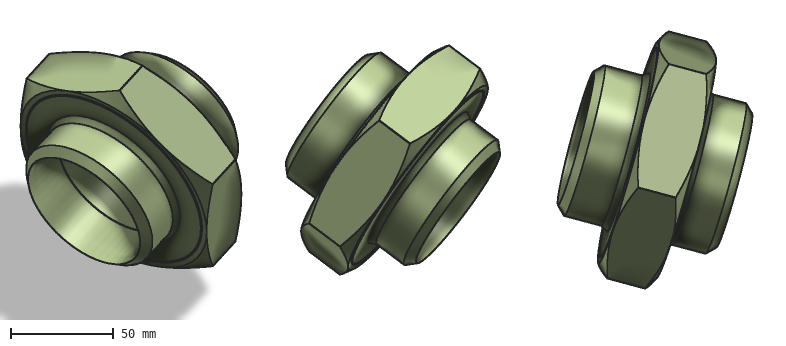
import cadquery as cq
import math

across_flats = 112.0
corner_diameter = 129.2
collar_width = 28.9
corner_chamfer_angle = 30.0

groove_outer_diameter = 106.0
groove_inner_diameter = 104.8
groove_depth = 0.4

front_length = 24.5
rear_length = 26.5
spigot_diameter = 76.1
root_diameter = 80.0
root_length = 3.5
end_chamfer = 4.3

bore_diameter = 66.5
counterbore_diameter = 67.3
counterbore_depth = 24.9

total_length = front_length + collar_width + rear_length
half_width = collar_width / 2
front_end = -half_width - front_length
rear_end = half_width + rear_length
centring_shift = (front_length - rear_length) / 2


def cylinder(diameter, length, start):
    """Cylinder along +Y whose first face lies at Y = start."""
    return cq.Workplane("XZ", origin=(0, start, 0)).circle(diameter / 2).extrude(-length)


def revolve_about_y(profile_points):
    """Solid of revolution from (radius, Y) points."""
    profile = cq.Workplane("XY").polyline(profile_points).close()
    return profile.revolve(360, (0, 0, 0), (0, 1, 0))


def make_collar():
    """Hexagon with corners up and down, turned to a cone on both faces."""
    hexagon_diameter = across_flats / math.cos(math.radians(30))
    hexagon = (
        cq.Workplane("XZ", origin=(0, -half_width, 0))
        .polygon(6, hexagon_diameter)
        .extrude(-collar_width)
        .rotate((0, 0, 0), (0, 1, 0), 90)
    )
    face_radius = across_flats / 2
    corner_radius = corner_diameter / 2
    cone_length = (corner_radius - face_radius) * math.tan(math.radians(corner_chamfer_angle))
    cone_start = half_width - cone_length
    turned_blank = revolve_about_y([
        (0, -half_width),
        (face_radius, -half_width),
        (corner_radius, -cone_start),
        (corner_radius, cone_start),
        (face_radius, half_width),
        (0, half_width),
    ])
    return hexagon.intersect(turned_blank)


def make_groove(start):
    outer = cylinder(groove_outer_diameter, groove_depth, start)
    return outer.cut(cylinder(groove_inner_diameter, groove_depth, start))


def make_spigot(length):
    """Spigot on the +Y side with a tapered root and a chamfered end."""
    spigot_radius = spigot_diameter / 2
    spigot_end = half_width + length
    return revolve_about_y([
        (0, 0),
        (root_diameter / 2, 0),
        (root_diameter / 2, half_width),
        (spigot_radius, half_width + root_length),
        (spigot_radius, spigot_end - end_chamfer),
        (spigot_radius - end_chamfer, spigot_end),
        (0, spigot_end),
    ])


body = make_collar()
for groove_start in (-half_width, half_width - groove_depth):
    body = body.cut(make_groove(groove_start))
body = body.union(make_spigot(rear_length))
body = body.union(make_spigot(front_length).mirror("XZ"))

body = body.cut(cylinder(bore_diameter, total_length, front_end))
for counterbore_start in (front_end, rear_end - counterbore_depth):
    body = body.cut(cylinder(counterbore_diameter, counterbore_depth, counterbore_start))

result = body.translate((0, centring_shift, 0))